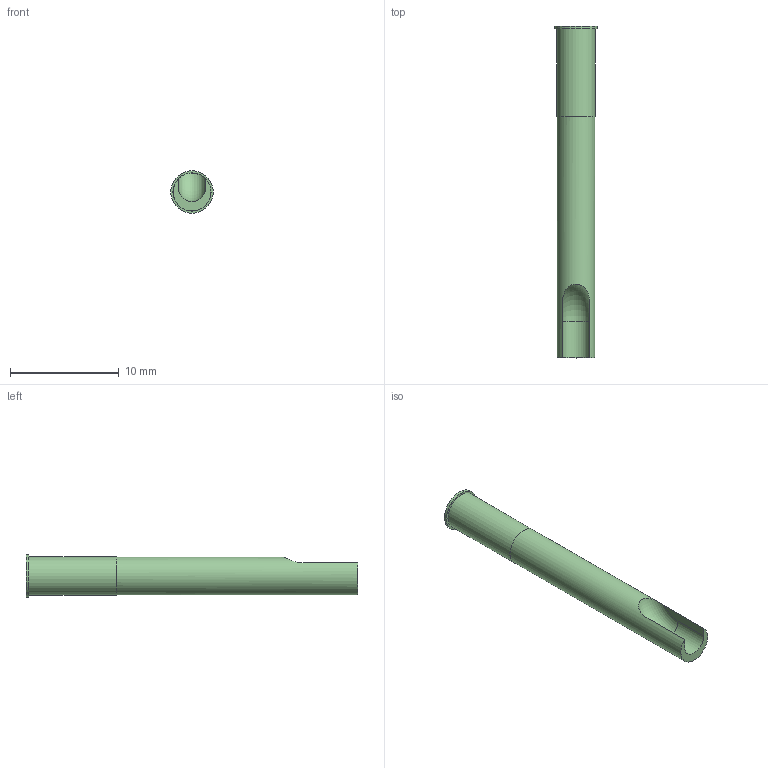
import cadquery as cq

total_length = 30.5
flange_diameter = 3.9
flange_thickness = 0.25
sleeve_diameter = 3.5
sleeve_end = 8.3
body_diameter = 3.48
slot_width = 2.5
slot_floor_z = -0.9
slot_flat_length = 3.35
runout_radius = 3.55
quarter_turn = 90

slot_radius = slot_width / 2
slot_center_z = slot_floor_z + slot_radius
runout_axis_z = slot_floor_z + runout_radius
tip_y = -total_length
runout_start_y = tip_y + slot_flat_length


def cylinder_from_flange_face(diameter, length):
    """Solid round bar running from y = 0 toward -Y."""
    return cq.Workplane("XZ").circle(diameter / 2).extrude(length)


def slot_profile(y):
    """U-shaped slot section at the given y, open upward to the runout axis."""
    return (
        cq.Workplane("XZ", origin=(0, y, 0))
        .moveTo(-slot_radius, runout_axis_z)
        .lineTo(-slot_radius, slot_center_z)
        .threePointArc((0, slot_floor_z), (slot_radius, slot_center_z))
        .lineTo(slot_radius, runout_axis_z)
        .close()
    )


def slot_cutter():
    """Straight trough at the tip, then the same section swung upward about an X-parallel axis."""
    trough = slot_profile(runout_start_y).extrude(slot_flat_length)
    runout = slot_profile(runout_start_y).revolve(
        quarter_turn, (-slot_radius, runout_axis_z), (slot_radius, runout_axis_z)
    )
    return trough.union(runout)


body = cylinder_from_flange_face(body_diameter, total_length)
sleeve = cylinder_from_flange_face(sleeve_diameter, sleeve_end)
flange = cylinder_from_flange_face(flange_diameter, flange_thickness)

result = body.union(sleeve).union(flange).cut(slot_cutter())